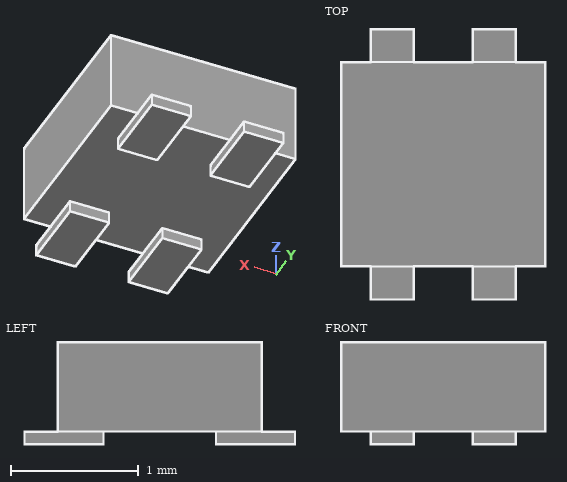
import cadquery as cq

housing_side = 1.6
housing_height = 0.7

lead_width = 0.34
lead_length = 0.62
lead_thickness = 0.1
lead_pitch = 0.8
lead_span = 2.12


def make_housing():
    """Square block resting on top of the leads."""
    return (
        cq.Workplane("XY")
        .workplane(offset=lead_thickness)
        .rect(housing_side, housing_side)
        .extrude(housing_height)
    )


def make_lead(x_side, y_side):
    """Flat lead with its bottom at Z = 0; each side is -1 or +1."""
    center_x = x_side * lead_pitch / 2
    center_y = y_side * (lead_span - lead_length) / 2
    return (
        cq.Workplane("XY")
        .center(center_x, center_y)
        .rect(lead_width, lead_length)
        .extrude(lead_thickness)
    )


housing = make_housing()
leads = [make_lead(x_side, y_side) for x_side in (-1, 1) for y_side in (-1, 1)]

result = cq.Compound.makeCompound([housing.val(), *[lead.val() for lead in leads]])